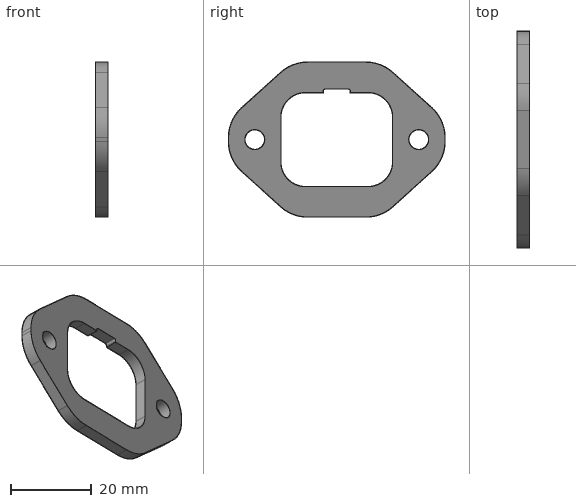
import cadquery as cq
import math

thickness = 3.15
length = 53.75
height = 38.5

outer_radius = 10.0
top_flat = 14.4
end_flat = 0.95

window_length = 27.6
window_height = 23.2
window_radius = 6.0
notch_width = 6.65
notch_depth = 0.9
notch_radius = 0.5

hole_diameter = 4.85
hole_spacing = 40.65


def mirrored(points):
    """Complete a closed loop from its first-quadrant points, ordered from top to side."""
    right_lower = [(y, -z) for y, z in reversed(points)]
    left = [(-y, -z) for y, z in points]
    left_upper = [(-y, z) for y, z in reversed(points)]
    return points + right_lower + left + left_upper


def make_plate():
    top_y = top_flat / 2
    top_z = height / 2 - outer_radius
    end_y = length / 2 - outer_radius
    end_z = end_flat / 2
    slant = math.hypot(end_y - top_y, top_z - end_z)
    normal_y = (top_z - end_z) / slant
    normal_z = (end_y - top_y) / slant

    edge_offset = top_y * normal_y + top_z * normal_z + outer_radius
    top_corner = ((edge_offset - height / 2 * normal_z) / normal_y, height / 2)
    end_corner = (length / 2, (edge_offset - length / 2 * normal_y) / normal_z)

    return (
        cq.Workplane("YZ")
        .polyline(mirrored([top_corner, end_corner]))
        .close()
        .extrude(thickness)
        .edges("|X")
        .fillet(outer_radius)
    )


def make_window():
    opening = (
        cq.Workplane("YZ")
        .rect(window_length, window_height)
        .extrude(thickness)
        .edges("|X")
        .fillet(window_radius)
    )
    notch_height = window_height / 2 + notch_depth
    notch = (
        cq.Workplane("YZ")
        .center(0, notch_height / 2)
        .rect(notch_width, notch_height)
        .extrude(thickness)
        .edges("|X and >Z")
        .fillet(notch_radius)
    )
    return opening.union(notch)


def make_holes():
    return (
        cq.Workplane("YZ")
        .pushPoints([(-hole_spacing / 2, 0), (hole_spacing / 2, 0)])
        .circle(hole_diameter / 2)
        .extrude(thickness)
    )


result = make_plate().cut(make_window()).cut(make_holes())